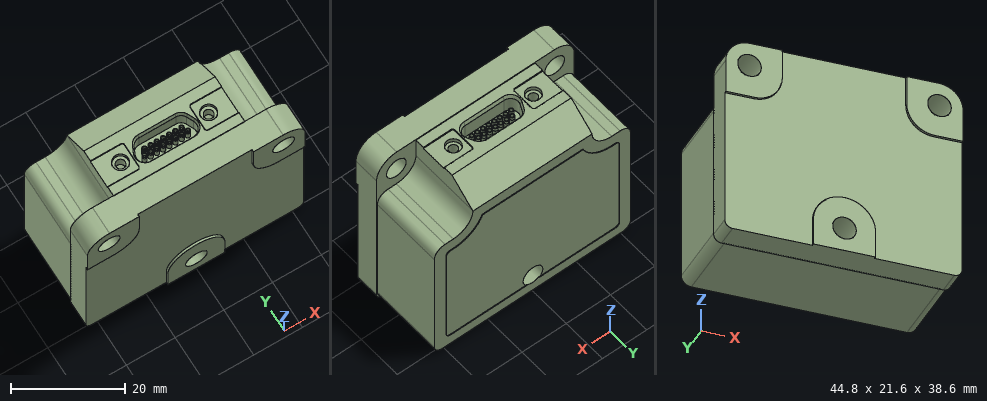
import cadquery as cq
import math

width = 44.75
height = 38.6
flange_depth = 5.75
pad_height = 0.5
top_corner_radius = 4.55
bottom_corner_radius = 1.48

hole_diameter = 4.45
hole_x = 17.9
top_hole_z = 34.0
bottom_hole_z = 4.6

corner_pad_width = 10.65
corner_pad_height = 10.95
corner_pad_radius = 5.25
bottom_pad_radius = 5.85
bottom_pad_top = 10.9

total_depth = 21.6
label_thickness = 0.15
housing_back = total_depth - label_thickness
housing_inset = 0.2
scoop_radius = 4.45
shoulder_radius = 2.4
housing_bottom_radius = 1.9
bevel_depth = 5.77
bevel_drop = 4.5

label_margin = 2.65
label_corner_radius = 0.9

connector_y = 10.65
screw_spacing = 18.1
screw_land_length = 6.7
screw_land_width = 5.75
screw_land_depth = 0.3
screw_land_radius = 0.45
screw_recess_diameter = 3.15
screw_recess_depth = 0.85
screw_hole_diameter = 1.9
screw_hole_depth = 3.6
screw_tip_depth = 0.6

socket_back_flat = 7.6
socket_length = 4.85
socket_side_angle = 25.0
socket_corner_radius = 1.75
socket_depth = 4.03
lead_in_width = 0.3
lead_in_depth = 0.75

front_pin_row_span = 8.9
pin_row_gap = 1.07
front_pin_row_y = -0.55
front_pin_count = 8
pin_pitch = front_pin_row_span / (front_pin_count - 1)
pin_diameter = 0.95
pin_bore_diameter = 0.65
pin_top_depth = 1.7
pin_bore_depth = 0.9

housing_half_width = width / 2 - housing_inset
housing_top = height - housing_inset
scoop_floor = top_hole_z - scoop_radius
scoop_wall_x = hole_x - scoop_radius
bevel_bottom = housing_top - bevel_drop
label_top = bevel_bottom - label_margin


def box_between(x0, x1, y0, y1, z0, z1):
    return cq.Workplane("XY").box(x1 - x0, y1 - y0, z1 - z0, centered=False).translate((x0, y0, z0))


def cylinder_along_y(x, z, radius, start_y, end_y):
    return cq.Workplane("XZ", origin=(x, start_y, z)).circle(radius).extrude(start_y - end_y)


def point_on_circle(center_x, center_z, radius, angle):
    """Point on a circle in the XZ plane, with the angle in degrees from +X."""
    turn = math.radians(angle)
    return (center_x + radius * math.cos(turn), center_z + radius * math.sin(turn))


def make_bottom_pad():
    arch_z = bottom_pad_top - bottom_pad_radius
    return (
        cq.Workplane("XZ")
        .moveTo(-bottom_pad_radius, 0)
        .lineTo(-bottom_pad_radius, arch_z)
        .threePointArc((0, bottom_pad_top), (bottom_pad_radius, arch_z))
        .lineTo(bottom_pad_radius, 0)
        .close()
        .extrude(-pad_height)
    )


def make_corner_pad(side):
    """Block centred on a top corner, of which only the quarter on the flange is used."""
    pad = cq.Workplane("XY").box(2 * corner_pad_width, pad_height, 2 * corner_pad_height)
    pad = pad.edges("|Y").fillet(corner_pad_radius)
    return pad.translate((side * width / 2, pad_height / 2, height))


def make_flange():
    """Rounded plate whose front face is relieved around three mounting pads."""
    plate = box_between(-width / 2, width / 2, 0, flange_depth, 0, height)
    plate = plate.edges("|Y and >Z").fillet(top_corner_radius)
    plate = plate.edges("|Y and <Z").fillet(bottom_corner_radius)
    relief = box_between(-width / 2, width / 2, 0, pad_height, 0, height)
    relief = relief.cut(make_bottom_pad()).cut(make_corner_pad(-1)).cut(make_corner_pad(1))
    return plate.cut(relief)


def housing_block(margin, shoulder, bottom_radius, start_y, end_y):
    """Housing outline shrunk by margin, scooped around the two top mounting holes."""
    side_x = housing_half_width - margin
    bottom_z = housing_inset + margin
    floor_z = scoop_floor - margin
    wall_x = scoop_wall_x - margin
    bottom_center = (side_x - bottom_radius, bottom_z + bottom_radius)
    shoulder_center = (side_x - shoulder, floor_z - shoulder)
    half = (
        cq.Workplane("XZ", origin=(0, start_y, 0))
        .moveTo(0, bottom_z)
        .lineTo(bottom_center[0], bottom_z)
        .threePointArc(point_on_circle(*bottom_center, bottom_radius, -45), (side_x, bottom_center[1]))
        .lineTo(side_x, shoulder_center[1])
        .threePointArc(point_on_circle(*shoulder_center, shoulder, 45), (shoulder_center[0], floor_z))
        .lineTo(hole_x, floor_z)
        .threePointArc(
            point_on_circle(hole_x, top_hole_z, scoop_radius + margin, 225), (wall_x, top_hole_z)
        )
        .lineTo(wall_x, housing_top)
        .lineTo(0, housing_top)
        .close()
        .extrude(start_y - end_y)
    )
    return half.union(half.mirror("YZ"))


def make_housing():
    """Scooped housing with its top back edge bevelled."""
    housing = housing_block(0, shoulder_radius, housing_bottom_radius, flange_depth, housing_back)
    bevel = (
        cq.Workplane("YZ")
        .moveTo(housing_back, housing_top)
        .lineTo(housing_back - bevel_depth, housing_top)
        .lineTo(housing_back, bevel_bottom)
        .close()
        .extrude(width / 2, both=True)
    )
    return housing.cut(bevel)


def make_label():
    """Thin raised field that follows the housing outline up to below the bevel."""
    field = housing_block(
        label_margin, label_corner_radius, label_corner_radius, housing_back, total_depth
    )
    above = box_between(-width / 2, width / 2, housing_back, total_depth, label_top, height)
    return field.cut(above)


def on_top(depth=0.0):
    """XY workplane below the housing's top face, centred on the connector."""
    return cq.Workplane("XY", origin=(0, connector_y, housing_top - depth))


def make_screw_pocket(side):
    """Sunken land open to the scoop wall, with a recessed blind screw hole."""
    land = (
        on_top()
        .center(side * scoop_wall_x, 0)
        .rect(2 * screw_land_length, screw_land_width)
        .extrude(-screw_land_depth)
        .edges("|Z")
        .fillet(screw_land_radius)
    )
    x = side * screw_spacing / 2
    recess = on_top(screw_land_depth).center(x, 0).circle(screw_recess_diameter / 2)
    recess = recess.extrude(-screw_recess_depth)
    hole = on_top().center(x, 0).circle(screw_hole_diameter / 2).extrude(-screw_hole_depth)
    tip_base = cq.Vector(x, connector_y, housing_top - screw_hole_depth)
    tip = cq.Solid.makeCone(screw_hole_diameter / 2, 0, screw_tip_depth, tip_base, cq.Vector(0, 0, -1))
    return land.union(recess).union(hole).union(cq.Workplane(tip))


def socket_outline(depth):
    """Rounded D outline of the socket, wider toward the flange."""
    half_length = socket_length / 2
    side_slope = math.tan(math.radians(socket_side_angle))
    corner_setback = socket_corner_radius * math.tan(math.radians((90 - socket_side_angle) / 2))
    back_half_width = socket_back_flat / 2 + corner_setback
    front_half_width = back_half_width + socket_length * side_slope
    corners = [
        (-front_half_width, -half_length),
        (front_half_width, -half_length),
        (back_half_width, half_length),
        (-back_half_width, half_length),
    ]
    outline = cq.Sketch().polygon(corners + corners[:1]).vertices().fillet(socket_corner_radius)
    return on_top(depth).placeSketch(outline)


def make_socket():
    """Straight-walled socket with a tapered mouth."""
    mouth_taper = math.degrees(math.atan(lead_in_width / lead_in_depth))
    well = socket_outline(socket_depth).extrude(socket_depth)
    mouth = socket_outline(lead_in_depth).extrude(lead_in_depth, taper=-mouth_taper)
    return well.union(mouth)


def make_contacts():
    """Two staggered rows of hollow contact sleeves."""
    rows = ((front_pin_count, front_pin_row_y), (front_pin_count - 1, front_pin_row_y + pin_row_gap))
    positions = [
        ((index - (count - 1) / 2) * pin_pitch, row_y)
        for count, row_y in rows
        for index in range(count)
    ]
    pin_height = socket_depth - pin_top_depth
    sleeves = on_top(socket_depth).pushPoints(positions).circle(pin_diameter / 2).extrude(pin_height)
    bores = on_top(pin_top_depth).pushPoints(positions).circle(pin_bore_diameter / 2)
    bores = bores.extrude(-pin_bore_depth)
    return sleeves.cut(bores)


result = make_flange().union(make_housing()).union(make_label())
for x, z in ((-hole_x, top_hole_z), (hole_x, top_hole_z), (0, bottom_hole_z)):
    result = result.cut(cylinder_along_y(x, z, hole_diameter / 2, 0, total_depth))
for side in (-1, 1):
    result = result.cut(make_screw_pocket(side))
result = result.cut(make_socket()).union(make_contacts())